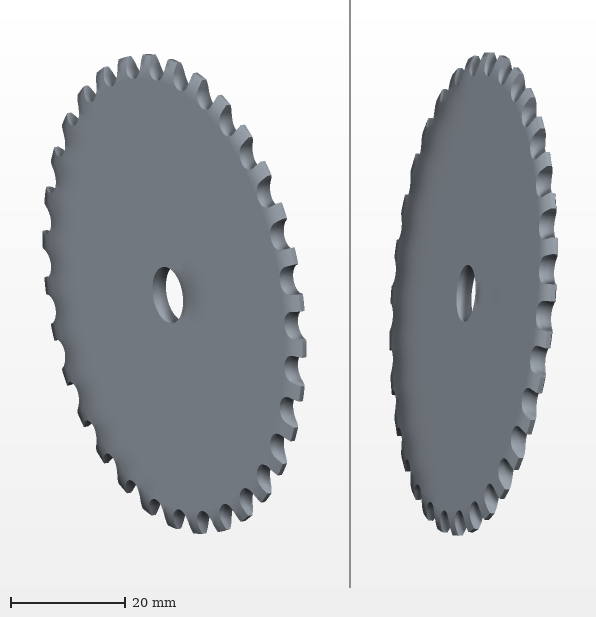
import cadquery as cq
import math

tooth_count = 32
tip_radius = 42.45
pitch_radius = 40.8
face_radius = 38.5
roller_radius = 5.0 / 2
bore_radius = 10.0 / 2
thickness = 2.8
tip_thickness = 0.85

pitch_angle = 360.0 / tooth_count
half_pitch = math.radians(pitch_angle / 2)


def make_blank():
    """Disc whose rim narrows to the tooth tip along arcs tangent to the side faces."""
    half_face = thickness / 2
    half_tip = tip_thickness / 2
    rim_depth = tip_radius - face_radius
    side_drop = half_face - half_tip
    rim_arc_radius = (rim_depth**2 + side_drop**2) / (2 * side_drop)
    half_depth = rim_depth / 2
    mid_drop = rim_arc_radius - math.sqrt(rim_arc_radius**2 - half_depth**2)
    mid_radius = face_radius + half_depth
    mid_half = half_face - mid_drop

    section = (
        cq.Workplane("XY")
        .moveTo(bore_radius, -half_face)
        .lineTo(face_radius, -half_face)
        .threePointArc((mid_radius, -mid_half), (tip_radius, -half_tip))
        .lineTo(tip_radius, half_tip)
        .threePointArc((mid_radius, mid_half), (face_radius, half_face))
        .lineTo(bore_radius, half_face)
        .close()
    )
    return section.revolve(360, (0, 0, 0), (0, 1, 0))


def make_gap_cutter():
    """Roller seat centred on +Z, opening outward along flanks parallel to the neighbouring teeth."""
    flank_length = 2 * (tip_radius - pitch_radius)
    seat_x = roller_radius * math.cos(half_pitch)
    seat_z = pitch_radius - roller_radius * math.sin(half_pitch)
    outer_x = seat_x + flank_length * math.sin(half_pitch)
    outer_z = seat_z + flank_length * math.cos(half_pitch)

    return (
        cq.Workplane("XZ")
        .moveTo(outer_x, outer_z)
        .lineTo(seat_x, seat_z)
        .threePointArc((0, pitch_radius - roller_radius), (-seat_x, seat_z))
        .lineTo(-outer_x, outer_z)
        .close()
        .extrude(thickness, both=True)
    )


sprocket = make_blank()
gap_cutter = make_gap_cutter()
for gap in range(tooth_count):
    gap_angle = (gap + 0.5) * pitch_angle
    sprocket = sprocket.cut(gap_cutter.rotate((0, 0, 0), (0, 1, 0), gap_angle))

result = sprocket